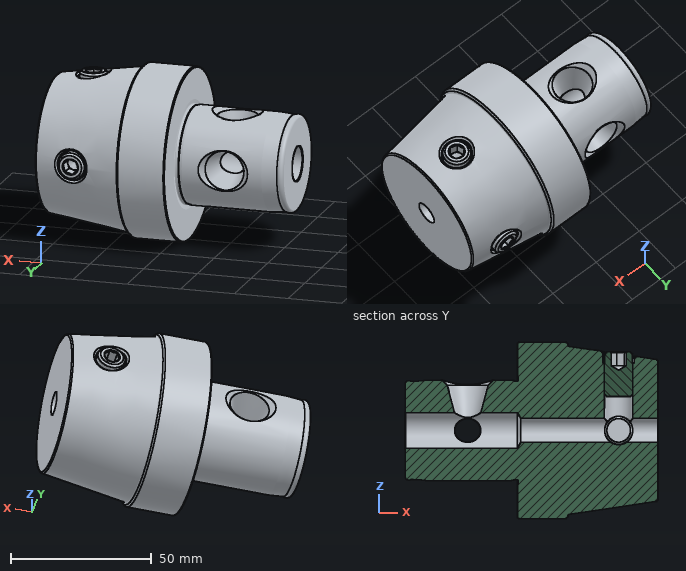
import cadquery as cq
import math

length = 90.0

shank_radius = 18.0
end_face_radius = 16.65
lip_crown_x = 1.2
lip_radius = 17.8
lip_end = 2.0
lip_end_radius = 17.65
lip_groove_x = 2.4
lip_groove_radius = 17.5
neck_radius = 17.6
neck_start = 2.9
shank_start = 8.0
shank_end = 37.6
lead_out_radius = 17.8
lead_out_end = 38.75
relief_radius = 17.6
relief_start = 39.05
relief_end = 39.6

flange_start = 40.0
flange_end = 58.0
flange_radius = 31.5
flange_front_chamfer = 0.4
flange_back_chamfer = 0.7
face_recess_radius = 19.7
face_recess_depth = 0.25
face_recess_inner_radius = 18.2

nose_corner_round = 0.7
nose_start_radius = 29.95
nose_half_angle = 8.5
nose_end_chamfer = 0.5

bore_radius = 6.2
bore_entry_chamfer = 0.3
bore_depth = flange_start
coolant_radius = 4.2
drill_half_angle = 59.0

socket_x = 22.3
socket_mouth_radius = 9.2
socket_seat_radius = 7.2
socket_half_angle = 15.0

screw_x = 76.0
screw_radius = 5.0
screw_top = 28.0
screw_length = 16.0
screw_chamfer = 0.8
hex_across_flats = 5.0
hex_depth = 5.0
hex_lead_in_radius = 2.95
hex_corner_angle = 45.0

mouth_radius = 5.5
mouth_floor = 24.0
mouth_chamfer = 0.8

clamp_directions = (0.0, -90.0)


def tan_deg(angle):
    return math.tan(math.radians(angle))


def turned_about_x(profile):
    """Revolve a closed XY profile about the X axis."""
    return profile.close().revolve(360, (0, 0, 0), (1, 0, 0))


def turned_about_z(points, x):
    """Revolve (radius, height) points about a vertical axis at the given X."""
    turned = cq.Workplane("XZ").polyline(points).close().revolve(360, (0, 0, 0), (0, 1, 0))
    return turned.translate((x, 0, 0))


def around_axis(body, angle):
    return body.rotate((0, 0, 0), (1, 0, 0), angle)


def holder_blank():
    nose_start = flange_end + nose_corner_round
    nose_end_radius = nose_start_radius - (length - nose_start) * tan_deg(nose_half_angle)
    nose_chamfer_start = length - nose_end_chamfer
    nose_chamfer_radius = nose_start_radius - (nose_chamfer_start - nose_start) * tan_deg(nose_half_angle)
    nose_arc_offset = nose_corner_round * (1 - math.sqrt(0.5))
    profile = (
        cq.Workplane("XY")
        .lineTo(0, end_face_radius)
        .threePointArc((lip_crown_x, lip_radius), (lip_end, lip_end_radius))
        .lineTo(lip_groove_x, lip_groove_radius)
        .lineTo(neck_start, neck_radius)
        .lineTo(shank_start, shank_radius)
        .lineTo(shank_end, shank_radius)
        .lineTo(lead_out_end, lead_out_radius)
        .lineTo(relief_start, relief_radius)
        .lineTo(relief_end, relief_radius)
        .tangentArcPoint((flange_start + face_recess_depth, face_recess_inner_radius), relative=False)
        .lineTo(flange_start, face_recess_radius)
        .lineTo(flange_start, flange_radius - flange_front_chamfer)
        .lineTo(flange_start + flange_front_chamfer, flange_radius)
        .lineTo(flange_end - flange_back_chamfer, flange_radius)
        .lineTo(flange_end, flange_radius - flange_back_chamfer)
        .lineTo(flange_end, nose_start_radius + nose_corner_round)
        .threePointArc(
            (flange_end + nose_arc_offset, nose_start_radius + nose_arc_offset),
            (nose_start, nose_start_radius),
        )
        .lineTo(nose_chamfer_start, nose_chamfer_radius)
        .lineTo(length, nose_end_radius - nose_end_chamfer)
        .lineTo(length, 0)
    )
    return turned_about_x(profile)


def axial_bore():
    cone_end = bore_depth + (bore_radius - coolant_radius) / tan_deg(drill_half_angle)
    profile = (
        cq.Workplane("XY")
        .lineTo(0, bore_radius + bore_entry_chamfer)
        .lineTo(bore_entry_chamfer, bore_radius)
        .lineTo(bore_depth, bore_radius)
        .lineTo(cone_end, coolant_radius)
        .lineTo(length, coolant_radius)
        .lineTo(length, 0)
    )
    return turned_about_x(profile)


def clamping_socket():
    """A 90 degree mouth above a slender cone that runs down into the axial bore."""
    seat_height = shank_radius - (socket_mouth_radius - socket_seat_radius)
    axis_radius = socket_seat_radius - seat_height * tan_deg(socket_half_angle)
    points = [
        (0, 0),
        (axis_radius, 0),
        (socket_seat_radius, seat_height),
        (socket_mouth_radius, shank_radius),
        (socket_mouth_radius, flange_radius),
        (0, flange_radius),
    ]
    return turned_about_z(points, socket_x)


def screw_hole():
    """A screw hole from the axial bore outward, widened at its mouth."""
    points = [
        (0, 0),
        (screw_radius, 0),
        (screw_radius, mouth_floor),
        (mouth_radius, mouth_floor),
        (mouth_radius, flange_radius),
        (0, flange_radius),
    ]
    return turned_about_z(points, screw_x)


def chamfer_screw_mouth(body, angle):
    """Bevel the rim where the mouth of a screw hole meets the tapered nose."""
    upright = around_axis(body, -angle)
    rim_zone = cq.selectors.BoxSelector(
        (screw_x - screw_radius, -screw_radius, mouth_floor + mouth_chamfer),
        (screw_x + screw_radius, screw_radius, flange_radius),
    )
    return around_axis(upright.edges("not %CIRCLE").edges(rim_zone).chamfer(mouth_chamfer), angle)


def hex_socket():
    """Hexagonal key socket with a conical lead-in and a drilled conical bottom."""
    hex_corner_radius = hex_across_flats / math.sqrt(3)
    hex_bottom = screw_top - hex_depth
    flat_radius = hex_across_flats / 2
    hexagon = (
        cq.Workplane("XY")
        .polygon(6, 2 * hex_corner_radius)
        .extrude(hex_depth)
        .rotate((0, 0, 0), (0, 0, 1), hex_corner_angle)
        .translate((screw_x, 0, hex_bottom))
    )
    lead_in = turned_about_z(
        [
            (0, screw_top),
            (hex_lead_in_radius, screw_top),
            (flat_radius, screw_top - (hex_lead_in_radius - flat_radius)),
            (0, screw_top - (hex_lead_in_radius - flat_radius)),
        ],
        screw_x,
    )
    drill_tip = turned_about_z(
        [
            (0, hex_bottom),
            (flat_radius, hex_bottom),
            (0, hex_bottom - flat_radius / tan_deg(drill_half_angle)),
        ],
        screw_x,
    )
    return hexagon.union(lead_in).union(drill_tip)


def clamping_screw():
    shaft = (
        cq.Workplane("XY", origin=(screw_x, 0, screw_top))
        .circle(screw_radius)
        .extrude(-screw_length)
        .faces(">Z or <Z")
        .chamfer(screw_chamfer)
    )
    return shaft.cut(hex_socket())


holder = holder_blank().cut(axial_bore())
for direction in clamp_directions:
    holder = holder.cut(around_axis(clamping_socket(), direction))
    holder = holder.cut(around_axis(screw_hole(), direction))
    holder = chamfer_screw_mouth(holder, direction)

screws = [around_axis(clamping_screw(), direction) for direction in clamp_directions]

result = cq.Compound.makeCompound([holder.val(), *[screw.val() for screw in screws]])